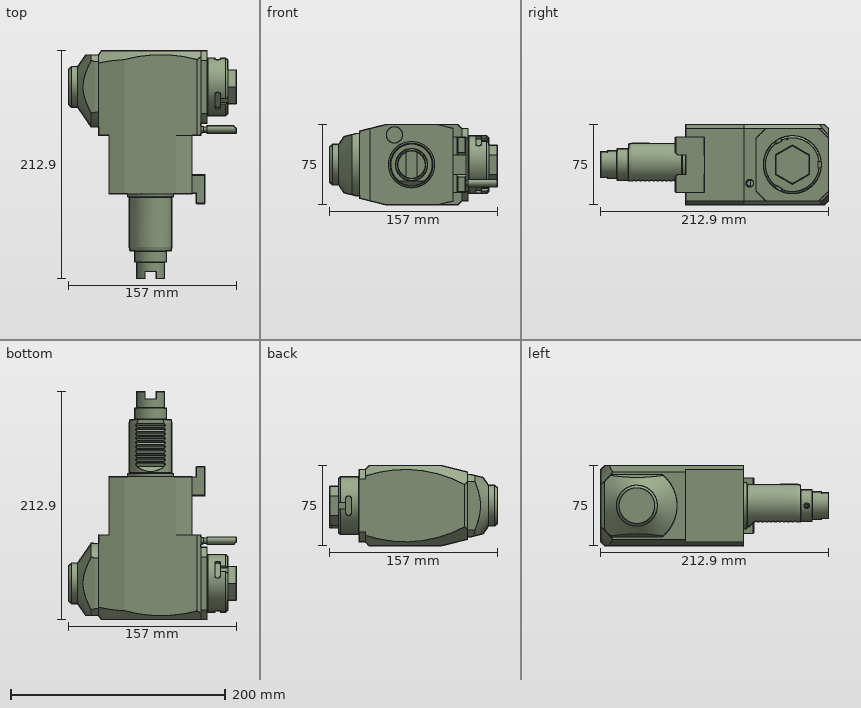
import cadquery as cq
import math


HALF_HEIGHT = 37.5
FLAT_HALF_WIDTH = 24.2
SIDE_SLOPE = math.tan(math.radians(14))
STEM_HALF_WIDTH = 38.8
HEAD_LEFT = -48.5
HEAD_RIGHT = 47.0
HEAD_CHAMFER = 3.7
STEP_Y = 54.5
SPINDLE_Y = 99.7
PLATE_HALF_SIZE = 33.9
HOUSING_BACK = SPINDLE_Y + PLATE_HALF_SIZE
BACK_CHAMFER_X = 2.7
BACK_CHAMFER_Y = 3.7
BACK_CONE_RADIUS = 120.0
BACK_CONE_DROP = 3.7
BACK_CONE_X = 9.7
PLUG_X = -16.0
PLUG_Z = 27.8
PLUG_RADIUS = 7.6
PLUG_DEPTH = 0.5

DRUM_RADIUS = 37.5
DRUM_CYLINDER_END = -55.4
DRUM_CONE_END = -68.0
DRUM_SLOPE_START = -51.5
DRUM_HALF_HEIGHT = 29.2
DRUM_BACK = 30.0
KNOB_RADIUS = 19.15
KNOB_END = -76.6
KNOB_CHAMFER_LENGTH = 3.0
KNOB_CHAMFER_DEPTH = 2.5

PLATE_END = 52.8
PLATE_CORNER = 9.2
COLLAR_START = 53.5
COLLAR_NECK_RADIUS = 26.3
COLLAR_RADIUS = 27.1
COLLAR_END = 72.1
COLLAR_CHAMFER = 2.0
NUT_RADIUS = 18.3
NUT_END = 80.4
NUT_EDGE_CHAMFER = 0.5
SLOT_COUNT = 3
SLOT_FIRST_ANGLE = 30.0
SLOT_X = 62.6
SLOT_LENGTH = 18.2
SLOT_WIDTH = 5.3
SLOT_DEPTH = 4.5
CHANNEL_WIDTH = 5.9
CHANNEL_DEPTH = 3.0

PIN_Y = 59.9
PIN_Z = -17.3
PIN_RADIUS = 3.6
PIN_NECK_RADIUS = 2.6
PIN_CONE_END = 49.5
PIN_NECK_END = 52.7
PIN_CHAMFER = 0.8
PIN_BEVEL = 3.0

BAR_END = 50.7
BAR_BACK = 17.9
BAR_FRONT = 0.6
CLAW_OUTER = 26.0
CLAW_INNER = 9.0
CLAW_SHOULDER = 0.3
CLAW_LEFT = 42.6
CLAW_FRONT = -9.6
CLAW_INNER_CHAMFER = 2.4
CLAW_EDGE_CHAMFER = 0.8

FLANGE_RADIUS = 21.6
FLANGE_LENGTH = 2.9
FLANGE_ROUND = 1.0
RELIEF_RADIUS = 19.4
RELIEF_LENGTH = 0.7
SHANK_RADIUS = 20.0
SHANK_END = 53.2
SHANK_CHAMFER_LENGTH = 3.2
SHANK_CHAMFER_DEPTH = 0.7
GAP_RADIUS = 14.4
GAP_LENGTH = 0.5
RING_RADIUS = 15.0
RING_END = 63.8
DRIVE_RADIUS = 13.1
DRIVE_END = 79.3
DRIVE_SLOT_WIDTH = 10.2
DRIVE_SLOT_DEPTH = 6.7
RING_HOLE_Y = -58.8
RING_HOLE_RADIUS = 2.5
RING_HOLE_DEPTH = 2.0
RING_BORE_RADIUS = 1.2
RING_BORE_DEPTH = 4.0

FLAT_Z = -15.4
FLAT_START = -9.4
TOOTH_PITCH = 4.03
TOOTH_DEPTH = 1.1
GROOVE_WIDTH = 3.2
GROOVE_COUNT = 10
FIRST_GROOVE_Y = -11.6


def turned_along_x(profile, y=0.0, z=0.0):
    """Revolve a closed (x, radius) profile about a line parallel to X."""
    solid = cq.Workplane("XY").polyline(profile).close().revolve(360, (0, 0, 0), (1, 0, 0))
    return solid.translate((0, y, z))


def box_between(x0, x1, y0, y1, z0, z1):
    """Box given by its limits along the three axes."""
    return cq.Workplane("XY").box(x1 - x0, y1 - y0, z1 - z0, centered=False).translate((x0, y0, z0))


def prism_along_y(outline, y0, y1):
    """Extrude a closed (x, z) outline from y0 to y1."""
    return cq.Workplane("XZ", origin=(0, y0, 0)).polyline(outline).close().extrude(y0 - y1)


def prism_along_x(outline, x0, x1):
    """Extrude a closed (y, z) outline from x0 to x1."""
    return cq.Workplane("YZ", origin=(x0, 0, 0)).polyline(outline).close().extrude(x1 - x0)


def mirrored_outline(upper):
    """Close an upper outline, listed left to right, with its mirror image in z."""
    return upper + [(a, -b) for a, b in reversed(upper)]


def slope_height(x):
    """Height of the sloping housing sides at x."""
    return HALF_HEIGHT - (abs(x) - FLAT_HALF_WIDTH) * SIDE_SLOPE


def back_cone(side):
    """Wide cone that bevels the upper (side = 1) or lower (side = -1) back edge."""
    back_radius = BACK_CONE_RADIUS - BACK_CONE_DROP
    profile = [
        (0, 0),
        (back_radius + HOUSING_BACK, 0),
        (back_radius, HOUSING_BACK),
        (0, HOUSING_BACK),
    ]
    cone = cq.Workplane("XY").polyline(profile).close().revolve(360, (0, 0, 0), (0, 1, 0))
    return cone.translate((BACK_CONE_X, 0, side * (HALF_HEIGHT - BACK_CONE_RADIUS)))


def make_housing():
    stem = prism_along_y(mirrored_outline([
        (-STEM_HALF_WIDTH, slope_height(STEM_HALF_WIDTH)),
        (-FLAT_HALF_WIDTH, HALF_HEIGHT),
        (FLAT_HALF_WIDTH, HALF_HEIGHT),
        (STEM_HALF_WIDTH, slope_height(STEM_HALF_WIDTH)),
    ]), 0, STEP_Y)
    head = prism_along_y(mirrored_outline([
        (HEAD_LEFT, slope_height(HEAD_LEFT)),
        (-FLAT_HALF_WIDTH, HALF_HEIGHT),
        (HEAD_RIGHT - HEAD_CHAMFER, HALF_HEIGHT),
        (HEAD_RIGHT, HALF_HEIGHT - HEAD_CHAMFER),
    ]), STEP_Y, HOUSING_BACK)
    back_corner = (
        cq.Workplane("XY", origin=(0, 0, -HALF_HEIGHT))
        .moveTo(HEAD_LEFT, HOUSING_BACK)
        .lineTo(HEAD_LEFT, HOUSING_BACK - BACK_CHAMFER_Y)
        .lineTo(HEAD_LEFT + BACK_CHAMFER_X, HOUSING_BACK)
        .close()
        .extrude(2 * HALF_HEIGHT)
    )
    plug_recess = (
        cq.Workplane("XZ")
        .center(PLUG_X, PLUG_Z)
        .circle(PLUG_RADIUS)
        .extrude(-PLUG_DEPTH)
    )
    housing = stem.union(head).cut(back_corner)
    for side in (1, -1):
        housing = housing.intersect(back_cone(side))
    return housing.cut(plug_recess)


def make_drum():
    drum = turned_along_x([
        (HEAD_LEFT, 0),
        (HEAD_LEFT, DRUM_RADIUS),
        (DRUM_CYLINDER_END, DRUM_RADIUS),
        (DRUM_CONE_END, KNOB_RADIUS),
        (DRUM_CONE_END, 0),
    ], SPINDLE_Y)
    back = SPINDLE_Y + DRUM_BACK
    sloped_end_height = DRUM_HALF_HEIGHT - (DRUM_SLOPE_START - DRUM_CONE_END) * SIDE_SLOPE
    flattened_sides = prism_along_y(mirrored_outline([
        (DRUM_CONE_END, sloped_end_height),
        (DRUM_SLOPE_START, DRUM_HALF_HEIGHT),
        (HEAD_LEFT, DRUM_HALF_HEIGHT),
    ]), SPINDLE_Y - DRUM_RADIUS, back)
    knob = turned_along_x([
        (DRUM_CONE_END, 0),
        (DRUM_CONE_END, KNOB_RADIUS),
        (KNOB_END + KNOB_CHAMFER_LENGTH, KNOB_RADIUS),
        (KNOB_END, KNOB_RADIUS - KNOB_CHAMFER_DEPTH),
        (KNOB_END, 0),
    ], SPINDLE_Y)
    return drum.intersect(flattened_sides).union(knob)


def make_collar_slot(angle):
    """T-shaped pocket: a round-ended slot joined to the collar face by a channel."""
    slot = (
        cq.Workplane("XY", origin=(SLOT_X, 0, COLLAR_RADIUS - SLOT_DEPTH))
        .slot2D(SLOT_LENGTH, SLOT_WIDTH, 90)
        .extrude(SLOT_DEPTH)
    )
    half_width = CHANNEL_WIDTH / 2
    channel_floor = COLLAR_RADIUS - CHANNEL_DEPTH
    channel = box_between(SLOT_X, COLLAR_END, -half_width, half_width, channel_floor, COLLAR_RADIUS)
    pocket = slot.union(channel)
    return pocket.rotate((0, 0, 0), (1, 0, 0), angle).translate((0, SPINDLE_Y, 0))


def make_spindle_nose():
    plate = (
        cq.Workplane("YZ", origin=(HEAD_RIGHT, SPINDLE_Y, 0))
        .rect(2 * PLATE_HALF_SIZE, 2 * PLATE_HALF_SIZE)
        .extrude(PLATE_END - HEAD_RIGHT)
        .edges("|X")
        .chamfer(PLATE_CORNER)
    )
    collar = turned_along_x([
        (PLATE_END, 0),
        (PLATE_END, COLLAR_NECK_RADIUS),
        (COLLAR_START, COLLAR_NECK_RADIUS),
        (COLLAR_START, COLLAR_RADIUS),
        (COLLAR_END - COLLAR_CHAMFER, COLLAR_RADIUS),
        (COLLAR_END, COLLAR_RADIUS - COLLAR_CHAMFER),
        (COLLAR_END, 0),
    ], SPINDLE_Y)
    for index in range(SLOT_COUNT):
        collar = collar.cut(make_collar_slot(SLOT_FIRST_ANGLE + index * 360 / SLOT_COUNT))
    nut = (
        cq.Workplane("YZ", origin=(COLLAR_END, SPINDLE_Y, 0))
        .polygon(6, 2 * NUT_RADIUS)
        .extrude(NUT_END - COLLAR_END)
        .rotate((0, SPINDLE_Y, 0), (1, SPINDLE_Y, 0), 90)
        .faces(">X")
        .chamfer(NUT_EDGE_CHAMFER)
    )
    return plate.union(collar).union(nut)


def make_pin():
    pin = turned_along_x([
        (HEAD_RIGHT, 0),
        (HEAD_RIGHT, PIN_RADIUS),
        (PIN_CONE_END, PIN_NECK_RADIUS),
        (PIN_NECK_END, PIN_NECK_RADIUS),
        (PIN_NECK_END, PIN_RADIUS),
        (NUT_END - PIN_CHAMFER, PIN_RADIUS),
        (NUT_END, PIN_RADIUS - PIN_CHAMFER),
        (NUT_END, 0),
    ], PIN_Y, PIN_Z)
    pin_back = PIN_Y + PIN_RADIUS
    bevel = (
        cq.Workplane("XY", origin=(0, 0, PIN_Z - PIN_RADIUS))
        .moveTo(NUT_END, pin_back)
        .lineTo(NUT_END - PIN_BEVEL, pin_back)
        .lineTo(NUT_END, pin_back - PIN_BEVEL)
        .close()
        .extrude(2 * PIN_RADIUS)
    )
    return pin.cut(bevel)


def make_upper_claw():
    """L-shaped claw whose nose reaches forward past the seating face."""
    body = box_between(STEM_HALF_WIDTH, BAR_END, CLAW_SHOULDER, BAR_BACK, CLAW_INNER, CLAW_OUTER)
    nose = box_between(CLAW_LEFT, BAR_END, CLAW_FRONT, CLAW_SHOULDER, CLAW_INNER, CLAW_OUTER)
    claw = body.union(nose)
    claw = claw.faces("<Y").edges("<Z").chamfer(CLAW_INNER_CHAMFER)
    claw = claw.faces("<Y").edges("|Z or >Z").chamfer(CLAW_EDGE_CHAMFER)
    return claw.faces(">Y").edges(">X or >Z").chamfer(CLAW_EDGE_CHAMFER)


def make_clamping_bar():
    bar = box_between(STEM_HALF_WIDTH, BAR_END, BAR_FRONT, BAR_BACK, -CLAW_INNER, CLAW_INNER)
    claw = make_upper_claw()
    return bar.union(claw).union(claw.mirror("XY"))


def make_toothed_flat():
    """Material removed below the shank: a ramped flat with V grooves across it."""
    shank_bottom = -SHANK_RADIUS
    ramp = FLAT_Z - shank_bottom
    half_groove = GROOVE_WIDTH / 2
    outline = [(FLAT_START + ramp, shank_bottom), (FLAT_START, FLAT_Z)]
    for index in range(GROOVE_COUNT):
        groove_y = FIRST_GROOVE_Y - index * TOOTH_PITCH
        outline.append((groove_y + half_groove, FLAT_Z))
        outline.append((groove_y, FLAT_Z + TOOTH_DEPTH))
        outline.append((groove_y - half_groove, FLAT_Z))
    outline += [(-SHANK_END, FLAT_Z), (-SHANK_END, shank_bottom)]
    return prism_along_x(outline, -SHANK_RADIUS, SHANK_RADIUS)


def make_shank():
    shank_start = FLANGE_LENGTH + RELIEF_LENGTH
    ring_start = SHANK_END + GAP_LENGTH
    drive_start = RING_END + GAP_LENGTH
    neck_radius = DRIVE_RADIUS - GAP_LENGTH
    profile = [
        (0, 0),
        (RELIEF_RADIUS, 0),
        (RELIEF_RADIUS, -shank_start),
        (SHANK_RADIUS, -shank_start),
        (SHANK_RADIUS, -(SHANK_END - SHANK_CHAMFER_LENGTH)),
        (SHANK_RADIUS - SHANK_CHAMFER_DEPTH, -SHANK_END),
        (GAP_RADIUS, -SHANK_END),
        (GAP_RADIUS, -ring_start),
        (RING_RADIUS, -ring_start),
        (RING_RADIUS, -RING_END),
        (neck_radius, -RING_END),
        (neck_radius, -drive_start),
        (DRIVE_RADIUS, -drive_start),
        (DRIVE_RADIUS, -DRIVE_END),
        (0, -DRIVE_END),
    ]
    shank = cq.Workplane("XY").polyline(profile).close().revolve(360, (0, 0, 0), (0, 1, 0))
    flange = (
        cq.Workplane("XZ")
        .circle(FLANGE_RADIUS)
        .extrude(FLANGE_LENGTH)
        .faces("<Y")
        .edges()
        .fillet(FLANGE_ROUND)
    )
    half_slot = DRIVE_SLOT_WIDTH / 2
    slot_floor = DRIVE_SLOT_DEPTH - DRIVE_END
    drive_slot = box_between(-half_slot, half_slot, -DRIVE_END, slot_floor, -DRIVE_RADIUS, DRIVE_RADIUS)
    hole_plane = cq.Workplane("YZ", origin=(-RING_RADIUS, RING_HOLE_Y, 0))
    ring_hole = hole_plane.circle(RING_HOLE_RADIUS).extrude(RING_HOLE_DEPTH)
    ring_bore = hole_plane.circle(RING_BORE_RADIUS).extrude(RING_BORE_DEPTH)
    return shank.union(flange).cut(drive_slot).cut(ring_hole).cut(ring_bore).cut(make_toothed_flat())


result = make_housing()
for component in (make_drum(), make_spindle_nose(), make_pin(), make_clamping_bar(), make_shank()):
    result = result.union(component)